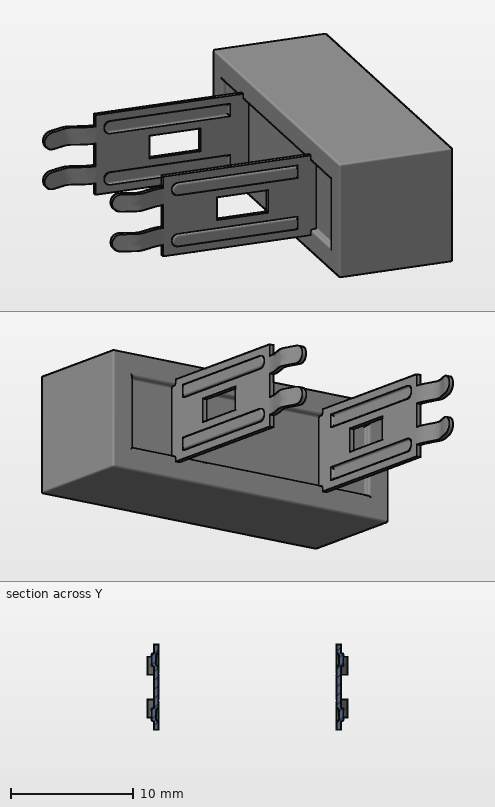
import cadquery as cq
import math

HOUSING_LENGTH = 28.0
HOUSING_DEPTH = 10.0
HOUSING_HEIGHT = 10.0
EDGE_RADIUS = 0.18

RIM_WIDTH = 1.8
RECESS_LENGTH = HOUSING_LENGTH - 2 * RIM_WIDTH
RECESS_HEIGHT = HOUSING_HEIGHT - 2 * RIM_WIDTH
RECESS_DEPTH = 0.5
RECESS_LIP_RADIUS = 0.2
RECESS_FLOOR_RADIUS = 0.15

PLATE_SPACING = 14.95
PLATE_THICKNESS = 0.4
PLATE_HEIGHT = 7.0
PLATE_REACH = 13.0

WINDOW_LENGTH = 4.5
WINDOW_HEIGHT = 2.0
WINDOW_CENTER_REACH = 6.0

BEAD_WIDTH = 1.1
BEAD_START_REACH = 1.15
BEAD_END_REACH = 12.25
BEAD_RISE = 0.2
BEAD_EDGE_RADIUS = 0.19
BEAD_OFFSET = 2.25

PRONG_LENGTH = 4.5
PRONG_WIDTH = 1.5
PRONG_OFFSET = 1.75
PRONG_BOW = 0.53
PRONG_CREST_REACH = 15.3
PRONG_SLOPE = math.radians(25)
PRONG_STEEPEST_FRACTION = 0.7

PLATE_X = PLATE_SPACING / 2


def make_housing():
    """Round-edged block with a shallow, round-lipped recess in its mouth face."""
    block = (
        cq.Workplane("XY")
        .box(HOUSING_LENGTH, HOUSING_DEPTH, HOUSING_HEIGHT)
        .translate((0, HOUSING_DEPTH / 2, 0))
        .edges()
        .fillet(EDGE_RADIUS)
    )
    recess = (
        cq.Workplane("XY")
        .box(
            RECESS_LENGTH - 2 * RECESS_LIP_RADIUS,
            2 * RECESS_DEPTH,
            RECESS_HEIGHT - 2 * RECESS_LIP_RADIUS,
        )
        .faces(">Y")
        .edges()
        .fillet(RECESS_FLOOR_RADIUS)
    )
    inside_recess = cq.selectors.BoxSelector(
        (-RECESS_LENGTH / 2, -RECESS_LIP_RADIUS, -RECESS_HEIGHT / 2),
        (RECESS_LENGTH / 2, RECESS_LIP_RADIUS, RECESS_HEIGHT / 2),
    )
    return block.cut(recess).edges(inside_recess).edges("<Y").fillet(RECESS_LIP_RADIUS)


def make_bead(base_x, center_z):
    """Round-edged bead rising towards +X from base_x: square near the housing, round at the far end."""
    half_width = BEAD_WIDTH / 2
    arc_start_y = half_width - BEAD_END_REACH
    return (
        cq.Workplane("YZ", origin=(base_x, 0, center_z))
        .moveTo(-BEAD_START_REACH, half_width)
        .lineTo(arc_start_y, half_width)
        .threePointArc((-BEAD_END_REACH, 0), (arc_start_y, -half_width))
        .lineTo(-BEAD_START_REACH, -half_width)
        .close()
        .extrude(BEAD_RISE)
        .faces(">X")
        .edges()
        .fillet(BEAD_EDGE_RADIUS)
    )


def make_bowed_strip():
    """Strip of constant thickness that bows smoothly outwards and back to the plane of the plate."""
    half_thickness = PLATE_THICKNESS / 2
    tip_reach = PLATE_REACH + PRONG_LENGTH
    steepest_bow = PRONG_STEEPEST_FRACTION * PRONG_BOW
    rising_reach = PLATE_REACH + PRONG_STEEPEST_FRACTION * (PRONG_CREST_REACH - PLATE_REACH)
    falling_reach = tip_reach - PRONG_STEEPEST_FRACTION * (tip_reach - PRONG_CREST_REACH)
    stations = [
        (PLATE_REACH, 0, 0),
        (rising_reach, steepest_bow, PRONG_SLOPE),
        (PRONG_CREST_REACH, PRONG_BOW, 0),
        (falling_reach, steepest_bow, -PRONG_SLOPE),
        (tip_reach, 0, 0),
    ]

    def side_points(offset):
        """Stations moved square to the center line by the offset."""
        return [
            (PLATE_X + bow + offset * math.cos(angle), -reach + offset * math.sin(angle))
            for reach, bow, angle in stations
        ]

    outer = side_points(half_thickness)
    inner = side_points(-half_thickness)[::-1]
    return (
        cq.Workplane("XY", origin=(0, 0, -PRONG_WIDTH / 2))
        .spline(outer, tangents=[(0, -1), (0, -1)])
        .lineTo(*inner[0])
        .spline(inner[1:], tangents=[(0, 1), (0, 1)], includeCurrent=True)
        .close()
        .extrude(PRONG_WIDTH)
    )


def make_prong(center_z):
    """Bowed strip trimmed to a round-ended outline."""
    half_width = PRONG_WIDTH / 2
    tip_y = -PLATE_REACH - PRONG_LENGTH
    outline = (
        cq.Workplane("YZ")
        .moveTo(-PLATE_REACH, half_width)
        .lineTo(tip_y + half_width, half_width)
        .threePointArc((tip_y, 0), (tip_y + half_width, -half_width))
        .lineTo(-PLATE_REACH, -half_width)
        .close()
        .extrude(HOUSING_LENGTH / 2)
    )
    return make_bowed_strip().intersect(outline).translate((0, 0, center_z))


def make_terminal():
    """Plate on the +X side with its window, beads and prongs, rooted on the recess floor."""
    plate_length = PLATE_REACH + RECESS_DEPTH
    terminal = (
        cq.Workplane("XY")
        .box(PLATE_THICKNESS, plate_length, PLATE_HEIGHT)
        .translate((PLATE_X, RECESS_DEPTH - plate_length / 2, 0))
    )
    window = (
        cq.Workplane("XY")
        .box(2 * PLATE_THICKNESS, WINDOW_LENGTH, WINDOW_HEIGHT)
        .translate((PLATE_X, -WINDOW_CENTER_REACH, 0))
    )
    terminal = terminal.cut(window)
    for side in (-1, 1):
        bead_z = side * BEAD_OFFSET
        terminal = (
            terminal
            .union(make_bead(PLATE_X + PLATE_THICKNESS / 2, bead_z))
            .cut(make_bead(PLATE_X - PLATE_THICKNESS / 2, bead_z))
            .union(make_prong(side * PRONG_OFFSET))
        )
    return terminal


terminal = make_terminal()
result = make_housing().union(terminal).union(terminal.mirror("YZ"))